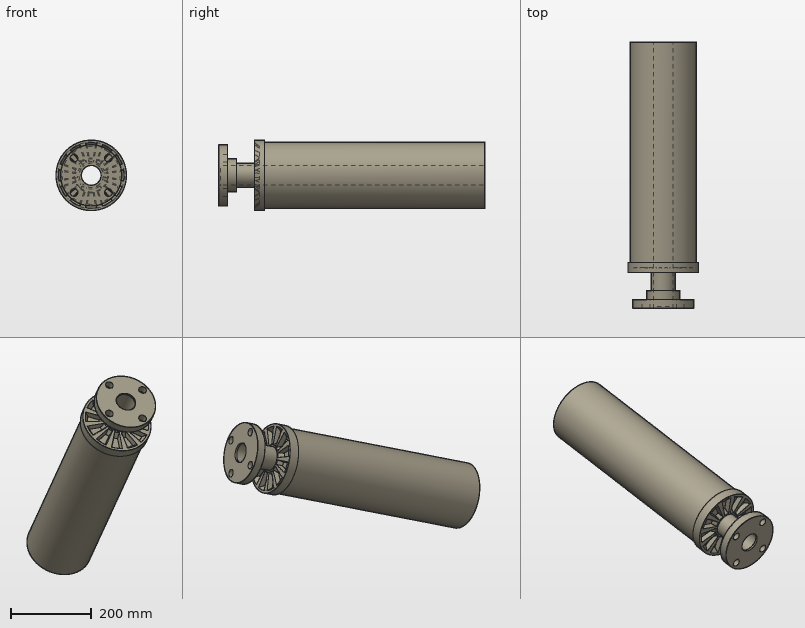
import cadquery as cq
import math

TOTAL_LENGTH = 660.4
FLANGE_BACK = 22.2
HUB_BACK = 44.45
CAP_FRONT = 88.9
CAP_BACK = 114.3

FLANGE_DIA = 152.4
HUB_DIA = 82.4
PIPE_DIA = 60.33
CAP_DIA = 175.41
TUBE_DIA = 165.1

BORE_DIA = 48.59
MOUTH_DIA = 49.25
MOUTH_DEPTH = 5.0

FLANGE_CHAMFER = 0.6
CAP_CHAMFER = 0.5

BOLT_COUNT = 4
BOLT_HOLE_DIA = 18.92
BOLT_CIRCLE_DIA = 120.65
BOLT_START_DEG = 180 / BOLT_COUNT

POCKET_COUNT = 12
POCKET_OUTER_DIA = 162.5
POCKET_INNER_DIA = 68.0
POCKET_SPAN_DEG = 20.0
POCKET_DEPTH = 12.7
POCKET_RIM_SLOPE_DEG = 36.0
POCKET_FLANK_DRAFT_DEG = 12.3


def cylinder(diameter, start, end):
    """Cylinder about the Y axis between two axial positions."""
    plane = cq.Workplane("XZ", origin=(0, start, 0))
    return plane.circle(diameter / 2).extrude(start - end)


def turn_about_axis(shape, angle_deg):
    """Rotate a shape about the column axis."""
    return shape.rotate((0, 0, 0), (0, 1, 0), angle_deg)


def flange():
    """Flange disc with both outer edges chamfered."""
    disc = cylinder(FLANGE_DIA, 0, FLANGE_BACK)
    return disc.faces("<Y or >Y").edges().chamfer(FLANGE_CHAMFER)


def cap():
    """End cap with its front edge chamfered."""
    disc = cylinder(CAP_DIA, CAP_FRONT, CAP_BACK)
    return disc.faces("<Y").edges().chamfer(CAP_CHAMFER)


def pocket():
    """Sector-shaped pocket centred on +X: flat floor, conical ends and drafted flanks."""
    inner_radius = POCKET_INNER_DIA / 2
    outer_radius = POCKET_OUTER_DIA / 2
    slope_run = POCKET_DEPTH * math.tan(math.radians(POCKET_RIM_SLOPE_DEG))
    floor = CAP_FRONT + POCKET_DEPTH
    groove_section = cq.Workplane("XY").polyline(
        [
            (inner_radius, CAP_FRONT),
            (outer_radius, CAP_FRONT),
            (outer_radius - slope_run, floor),
            (inner_radius + slope_run, floor),
        ]
    ).close()
    groove = groove_section.revolve(360, (0, 0, 0), (0, 1, 0))

    reach = POCKET_OUTER_DIA
    half_width = reach * math.tan(math.radians(POCKET_SPAN_DEG / 2))
    sector = cq.Workplane("XZ", origin=(0, CAP_FRONT, 0)).polyline(
        [(0, 0), (reach, -half_width), (reach, half_width)]
    ).close()
    wedge = sector.extrude(-POCKET_DEPTH, taper=POCKET_FLANK_DRAFT_DEG)
    return groove.intersect(wedge)


def cut_pockets(body):
    one_pocket = pocket()
    for index in range(POCKET_COUNT):
        body = body.cut(turn_about_axis(one_pocket, index * 360 / POCKET_COUNT))
    return body


def cut_bolt_holes(body):
    hole = cylinder(BOLT_HOLE_DIA, 0, FLANGE_BACK).translate((BOLT_CIRCLE_DIA / 2, 0, 0))
    for index in range(BOLT_COUNT):
        body = body.cut(turn_about_axis(hole, BOLT_START_DEG + index * 360 / BOLT_COUNT))
    return body


def cut_bore(body):
    body = body.cut(cylinder(BORE_DIA, 0, TOTAL_LENGTH))
    return body.cut(cylinder(MOUTH_DIA, 0, MOUTH_DEPTH))


column = (
    flange()
    .union(cylinder(HUB_DIA, FLANGE_BACK, HUB_BACK))
    .union(cylinder(PIPE_DIA, HUB_BACK, CAP_FRONT))
    .union(cap())
    .union(cylinder(TUBE_DIA, CAP_BACK, TOTAL_LENGTH))
)
column = cut_pockets(column)
column = cut_bolt_holes(column)
result = cut_bore(column)